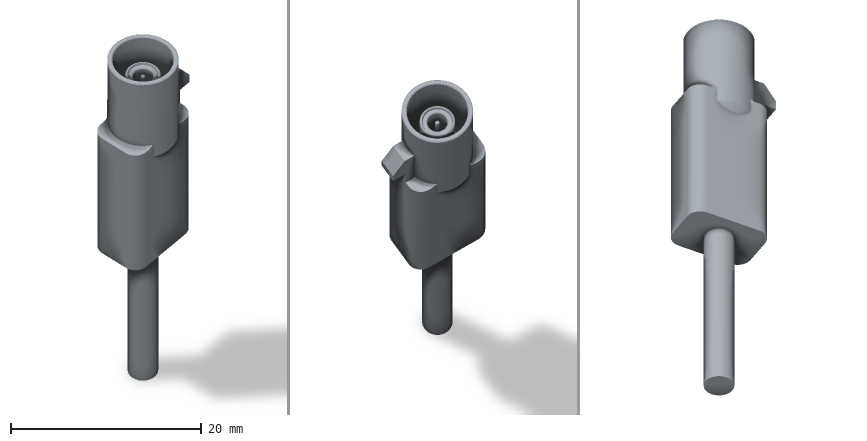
import cadquery as cq

total_length = 46.6
body_bottom = 20.0
body_top = 37.2

body_width = 6.3
body_depth = 9.3
body_corner_radius = 1.55

cable_diameter = 3.2
cable_radius = cable_diameter / 2

barrel_diameter = 7.5
barrel_radius = barrel_diameter / 2
barrel_straight_length = 10.95
barrel_taper_height = 1.03
barrel_taper_end_radius = body_width / 2
collar_base_radius = 4.05
collar_height = 0.25

bore_radius = 3.2
bore_depth = 9.3
socket_floor = total_length - bore_depth
rim_chamfer = 0.1

shield_radius = 1.85
shield_recess = 2.2
shield_chamfer = 0.15
shield_crest_radius = 1.65
insulator_radius = 1.55
insulator_recess = 2.45
insulator_bore_radius = 1.05
insulator_bore_chamfer = 0.1
pin_radius = 0.25
pin_chamfer = 0.1

latch_width = 2.2
latch_reach = 6.25
latch_top_reach = 4.8
latch_top = total_length - 4.55
latch_slope_bottom = total_length - 6.45
latch_hook_bottom = total_length - 7.5


def cylinder(radius, bottom, top):
    """Upright cylinder on the Z axis between two heights."""
    return cq.Workplane("XY").workplane(offset=bottom).circle(radius).extrude(top - bottom)


def revolved(profile):
    """Full turn about the Z axis of a closed outline of (radius, height) points."""
    return cq.Workplane("XZ").polyline(profile).close().revolve(360, (0, 0), (0, 1))


def make_body():
    """Block with rounded upright edges."""
    return (
        cq.Workplane("XY")
        .workplane(offset=body_bottom)
        .rect(body_width, body_depth)
        .extrude(body_top - body_bottom)
        .edges("|Z")
        .fillet(body_corner_radius)
    )


def make_barrel():
    """Solid barrel whose lower end tapers into the sides of the body."""
    straight_bottom = total_length - barrel_straight_length
    profile = [
        (0, straight_bottom - barrel_taper_height),
        (barrel_taper_end_radius, straight_bottom - barrel_taper_height),
        (barrel_radius, straight_bottom),
        (barrel_radius, total_length - rim_chamfer),
        (barrel_radius - rim_chamfer, total_length),
        (0, total_length),
    ]
    return revolved(profile)


def make_collar():
    """Low cone on top of the body, trimmed flush with the body's sides."""
    profile = [
        (0, body_top),
        (collar_base_radius, body_top),
        (barrel_radius, body_top + collar_height),
        (0, body_top + collar_height),
    ]
    cone = revolved(profile)
    trim = cq.Workplane("XY").rect(body_width, body_depth).extrude(total_length)
    return cone.intersect(trim)


def make_latch():
    """Hooked rib standing on the body against the barrel."""
    body_edge = body_depth / 2
    outline = [
        (bore_radius, body_top),
        (body_edge, body_top),
        (body_edge, latch_hook_bottom),
        (latch_reach, latch_hook_bottom),
        (latch_reach, latch_slope_bottom),
        (latch_top_reach, latch_top),
        (bore_radius, latch_top),
    ]
    return cq.Workplane("YZ").polyline(outline).close().extrude(latch_width / 2, both=True)


def make_socket():
    """Round cavity with a chamfered mouth."""
    profile = [
        (0, socket_floor),
        (bore_radius, socket_floor),
        (bore_radius, total_length - rim_chamfer),
        (bore_radius + rim_chamfer, total_length),
        (0, total_length),
    ]
    return revolved(profile)


def make_contact():
    """Bevelled shield tube around a lower insulator, with a centre pin."""
    shield_top = total_length - shield_recess
    insulator_top = total_length - insulator_recess
    profile = [
        (insulator_bore_radius, socket_floor),
        (shield_radius, socket_floor),
        (shield_radius, shield_top - shield_chamfer),
        (shield_radius - shield_chamfer, shield_top),
        (shield_crest_radius, shield_top),
        (insulator_radius, insulator_top),
        (insulator_bore_radius + insulator_bore_chamfer, insulator_top),
        (insulator_bore_radius, insulator_top - insulator_bore_chamfer),
    ]
    pin = cylinder(pin_radius, socket_floor, insulator_top).faces(">Z").chamfer(pin_chamfer)
    return revolved(profile).union(pin)


shell = make_body().union(make_barrel()).union(make_collar()).union(make_latch())
shell = shell.union(cylinder(cable_radius, 0, body_bottom))

result = shell.cut(make_socket()).union(make_contact())